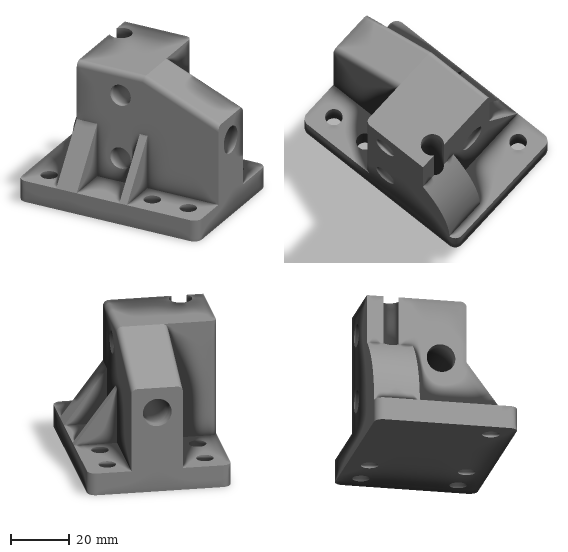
import cadquery as cq

length = 70.0
depth = 50.0
height = 50.0
base_height = 8.0
base_corner_radius = 3.0

body_left = 15.0
body_front = 15.0
arm_back = 33.0
head_right = 41.0
arm_end_height = 38.0
edge_radius = 2.0

shoulder_left = 3.0
shoulder_radius = 32.0
shoulder_depth = 16.0

rib_height = 20.0
ribs = [(body_left, 8.0), (39.5, 3.0)]

mount_diameter = 6.0
mount_inset = 8.0
mount_right_columns = (48.0, 62.0)
cross_diameter = 8.0
cross_x = 32.0
cross_heights = (17.0, 41.0)
long_diameter = 10.0
long_height = 29.0
pin_diameter = 8.0
pin_x = 18.0
pin_y = 41.5


def box(x, y, z, dx, dy, dz):
    """Box with its lower left front corner at (x, y, z)."""
    return cq.Workplane("XY").box(dx, dy, dz, centered=False).translate((x, y, z))


def drill(x, y, z, diameter, reach, direction):
    """Cylinder that starts at (x, y, z) and runs along the given direction."""
    axis = cq.Vector(*direction)
    return cq.Workplane(cq.Solid.makeCylinder(diameter / 2, reach, cq.Vector(x, y, z), axis))


def make_base():
    plate = box(0, 0, 0, length, depth, base_height)
    return plate.edges("|Z").fillet(base_corner_radius)


def make_body():
    head_width = head_right - body_left
    head = box(body_left, arm_back, base_height, head_width, depth - arm_back, height - base_height)
    head = head.edges("|Z and >X and >Y").fillet(edge_radius)
    profile = [
        (body_left, base_height),
        (body_left, height),
        (head_right, height),
        (length, arm_end_height),
        (length, base_height),
    ]
    arm = (
        cq.Workplane("XZ", origin=(0, arm_back, 0))
        .polyline(profile)
        .close()
        .extrude(arm_back - body_front)
    )
    body = arm.union(head)

    slope_middle = ((head_right + length) / 2, (height + arm_end_height) / 2)
    top_middle = ((body_left + head_right) / 2, height)
    rounded_edges = [
        (top_middle[0], body_front, top_middle[1]),
        (slope_middle[0], body_front, slope_middle[1]),
        (slope_middle[0], arm_back, slope_middle[1]),
    ]
    selector = cq.selectors.NearestToPointSelector
    picked = [body.edges(selector(point)).val() for point in rounded_edges]
    return body.newObject(picked).fillet(edge_radius)


def make_shoulder():
    center_x = shoulder_left + shoulder_radius
    front = depth - shoulder_depth
    cylinder = drill(center_x, front, base_height, 2 * shoulder_radius, shoulder_depth, (0, 1, 0))
    width = body_left - shoulder_left
    window = box(shoulder_left, front, base_height, width, shoulder_depth, shoulder_radius)
    return cylinder.intersect(window)


def make_rib(left, thickness):
    return (
        cq.Workplane("YZ", origin=(left, 0, 0))
        .polyline([(0, base_height), (body_front, base_height), (body_front, base_height + rib_height)])
        .close()
        .extrude(thickness)
    )


part = make_base().union(make_body()).union(make_shoulder())
for left, thickness in ribs:
    part = part.union(make_rib(left, thickness))

mount_back = depth - mount_inset
mount_points = [(mount_inset, mount_inset)]
for x in mount_right_columns:
    mount_points += [(x, mount_inset), (x, mount_back)]
for x, y in mount_points:
    part = part.cut(drill(x, y, 0, mount_diameter, base_height, (0, 0, 1)))

for z in cross_heights:
    part = part.cut(drill(cross_x, 0, z, cross_diameter, depth, (0, 1, 0)))

long_y = (body_front + arm_back) / 2
part = part.cut(drill(0, long_y, long_height, long_diameter, length, (1, 0, 0)))

part = part.cut(drill(pin_x, pin_y, base_height, pin_diameter, height - base_height, (0, 0, 1)))

result = part